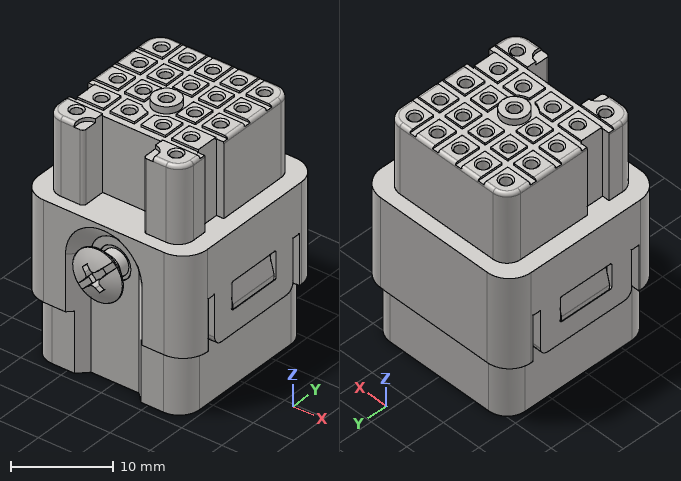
import cadquery as cq
import math

total_height = 29.35
collar_size = 21.0
collar_radius = 3.02
collar_bottom = 7.37
collar_top = 19.45
core_center_y = -0.05
core_width = 18.9
core_length = 19.64
core_radius = 2.52
insert_width = 16.9
insert_length = 17.75
insert_center_y = -0.1
insert_radius = 1.9
insert_top = 28.75
insert_edge_round = 0.45

contact_pitch_x = 3.2
contact_pitch_y = 3.5
first_row_y = 6.9
staggered_row_y = -3.73
staggered_inner_x = 2.08
staggered_outer_x = 5.58
corner_contact_x = 6.2
corner_contact_y = -6.9
contact_radius = 0.65
countersink_radius = 0.85

groove_width = 0.8
groove_depth = 0.25
groove_floor = insert_top - groove_depth
cross_groove_ys = (5.08, 1.6, -1.95, -5.52)
staggered_groove_x = 3.85
front_wall_y = cross_groove_ys[-1] - groove_width / 2

boss_y = -0.5
boss_radius = 1.65
boss_clearance_radius = 2.47

recess_depth = 0.9
recess_back_y = -2.23
recess_front_y = -5.22
notch_half_width = 3.73
notch_edge_radius = 0.4
scoop_radius = 1.17
scoop_center_y = -8.25

channel_center_z = 14.18
channel_mouth_radius = 4.75
channel_floor_radius = 2.95
channel_depth = channel_mouth_radius - channel_floor_radius
channel_floor_y = -collar_size / 2 + channel_depth

shank_radius = 1.55
shank_hole_radius = 1.97
shank_hole_depth = 0.2
head_radius = 3.08
head_rim_back_y = -11.33
head_rim_front_y = -11.5
head_tip_y = -12.4
driver_slot_width = 0.7
driver_arm_width = 0.82
driver_long_arm = 3.05
driver_short_arm = 2.47
driver_inner_radius = 0.53
driver_floor_y = -10.92
driver_turn = 45

relief_outer_y = 7.25
tongue_half_width = 6.25
tongue_corner_radius = 1.1
latch_top = 13.53
window_bottom = 10.15
window_half_width = 3.52
window_depth = 0.7
window_corner_radius = 0.23
tooth_gap = 0.23
tooth_setback = 0.05
tooth_ramp_bottom = 10.75

pick_margin = 0.03


def block(width, length, bottom, top, center=(0, 0)):
    """Upright box given by its footprint, center and two heights."""
    return (
        cq.Workplane("XY", origin=(0, 0, bottom))
        .center(*center)
        .rect(width, length)
        .extrude(top - bottom)
    )


def span(x0, x1, y0, y1, bottom, top):
    """Upright box given by its limits."""
    return block(x1 - x0, y1 - y0, bottom, top, ((x0 + x1) / 2, (y0 + y1) / 2))


def disc(radius, bottom, top, center):
    """Upright cylinder."""
    return (
        cq.Workplane("XY", origin=(0, 0, bottom))
        .center(*center)
        .circle(radius)
        .extrude(top - bottom)
    )


def both_sides(shape):
    """The shape together with its mirror image across the YZ plane."""
    return shape.union(shape.mirror("YZ"))


def latch_cuts():
    """Relief around the tongue and the latch window, on the -X side."""
    outer_x = -collar_size / 2
    core_x = -core_width / 2
    relief = span(
        outer_x, core_x,
        core_center_y - relief_outer_y, core_center_y + relief_outer_y,
        collar_bottom, latch_top,
    )
    tongue = span(
        outer_x, core_x,
        core_center_y - tongue_half_width, core_center_y + tongue_half_width,
        collar_bottom, latch_top,
    ).edges("|X and <Z").fillet(tongue_corner_radius)
    window = span(
        outer_x, outer_x + window_depth,
        core_center_y - window_half_width, core_center_y + window_half_width,
        window_bottom, latch_top,
    ).edges("|X").fillet(window_corner_radius)
    return relief.cut(tongue).union(window)


def latch_tooth():
    """Tooth in the window; its face leans inward towards the top."""
    face_x = -collar_size / 2 + tooth_setback
    back_x = -collar_size / 2 + window_depth
    half_width = window_half_width - tooth_gap
    root_x = -core_width / 2
    return (
        cq.Workplane("XZ", origin=(0, core_center_y + half_width, 0))
        .moveTo(root_x, window_bottom)
        .lineTo(face_x, window_bottom)
        .lineTo(face_x, tooth_ramp_bottom)
        .lineTo(back_x, latch_top - tooth_gap)
        .lineTo(root_x, latch_top - tooth_gap)
        .close()
        .extrude(2 * half_width)
    )


def screw_channel():
    """Arched channel with 45 degree flanks, open at the bottom of the body."""
    floor = cq.Workplane("XZ", origin=(0, channel_floor_y, channel_center_z))
    flare = (
        floor.circle(channel_floor_radius)
        .workplane(offset=channel_depth)
        .circle(channel_mouth_radius)
        .loft()
    )
    trough = (
        cq.Workplane("XY")
        .moveTo(-channel_floor_radius, channel_floor_y)
        .lineTo(-channel_mouth_radius, -collar_size / 2)
        .lineTo(channel_mouth_radius, -collar_size / 2)
        .lineTo(channel_floor_radius, channel_floor_y)
        .close()
        .extrude(channel_center_z)
    )
    return flare.union(trough)


def shank_hole():
    """Clearance hole around the screw shank."""
    return (
        cq.Workplane("XZ", origin=(0, channel_floor_y + shank_hole_depth, channel_center_z))
        .circle(shank_hole_radius)
        .extrude(shank_hole_depth)
    )


def screw():
    """Screw with a raised countersunk head and a slotted cross recess."""
    shank_end_y = channel_floor_y + shank_hole_depth
    cone_back_y = head_rim_back_y + head_radius - shank_radius
    dome_height = head_rim_front_y - head_tip_y
    dome_radius = (head_radius**2 + dome_height**2) / (2 * dome_height)
    half_angle = math.asin(head_radius / dome_radius) / 2
    dome_mid = (
        dome_radius * math.sin(half_angle),
        head_tip_y + dome_radius * (1 - math.cos(half_angle)),
    )
    body = (
        cq.Workplane("XY", origin=(0, 0, channel_center_z))
        .moveTo(0, shank_end_y)
        .lineTo(shank_radius, shank_end_y)
        .lineTo(shank_radius, cone_back_y)
        .lineTo(head_radius, head_rim_back_y)
        .lineTo(head_radius, head_rim_front_y)
        .threePointArc(dome_mid, (0, head_tip_y))
        .close()
        .revolve(360, (0, 0, 0), (0, 1, 0))
    )
    driver_depth = driver_floor_y - head_tip_y
    driver_plane = cq.Workplane("XZ", origin=(0, driver_floor_y, channel_center_z))
    cross = (
        driver_plane.rect(driver_short_arm, driver_arm_width)
        .extrude(driver_depth)
        .union(driver_plane.rect(driver_arm_width, driver_long_arm).extrude(driver_depth))
    )
    inner_corner = driver_arm_width / 2 + pick_margin
    cross = cross.edges(
        cq.selectors.BoxSelector(
            (-inner_corner, head_tip_y, channel_center_z - inner_corner),
            (inner_corner, driver_floor_y, channel_center_z + inner_corner),
        )
    ).fillet(driver_inner_radius)
    slot = (
        cq.Workplane("XZ", origin=(0, head_rim_front_y, channel_center_z))
        .rect(2 * head_radius, driver_slot_width)
        .extrude(dome_height)
    )
    axis_start = (0, 0, channel_center_z)
    axis_end = (0, -1, channel_center_z)
    return body.cut(cross.union(slot).rotate(axis_start, axis_end, driver_turn))


def insert_body():
    """Rounded insert block with side recesses and the front notch."""
    half_width = insert_width / 2
    front_y = insert_center_y - insert_length / 2
    body = (
        block(insert_width, insert_length, collar_top, insert_top, (0, insert_center_y))
        .edges("|Z")
        .fillet(insert_radius)
        .faces(">Z")
        .edges()
        .fillet(insert_edge_round)
    )
    recess = span(
        -half_width, -half_width + recess_depth,
        recess_front_y, recess_back_y,
        collar_top, insert_top,
    )
    scoop_floor = insert_top - insert_edge_round
    scoop_x = -notch_half_width
    scoop = disc(scoop_radius, scoop_floor, insert_top, (scoop_x, scoop_center_y)).union(
        span(
            scoop_x - scoop_radius, scoop_x,
            front_y, scoop_center_y,
            scoop_floor, insert_top,
        )
    )
    notch = span(
        -notch_half_width, notch_half_width,
        front_y, front_wall_y,
        collar_top, insert_top,
    )
    body = body.cut(both_sides(recess)).cut(both_sides(scoop)).cut(notch)
    notch_tips = cq.selectors.BoxSelector(
        (-notch_half_width - pick_margin, front_y - pick_margin, collar_top),
        (notch_half_width + pick_margin, front_y + pick_margin, insert_top),
    )
    return body.edges("|Z").edges(notch_tips).fillet(notch_edge_radius)


def pad_grooves():
    """Shallow grooves that part the insert top into contact pads."""
    back_y = insert_center_y + insert_length / 2
    staggered_back_y, staggered_front_y = cross_groove_ys[2:]
    grooves = disc(boss_clearance_radius, groove_floor, insert_top, (0, boss_y)).intersect(
        block(contact_pitch_x + groove_width, insert_length, groove_floor, insert_top)
    )
    for y in cross_groove_ys:
        grooves = grooves.union(
            block(insert_width, groove_width, groove_floor, insert_top, (0, y))
        )
    for column in (-1.5, -0.5, 0.5, 1.5):
        x = column * contact_pitch_x
        grooves = grooves.union(
            span(
                x - groove_width / 2, x + groove_width / 2,
                staggered_back_y, back_y,
                groove_floor, insert_top,
            )
        )
    for x in (-staggered_groove_x, 0, staggered_groove_x):
        grooves = grooves.union(
            span(
                x - groove_width / 2, x + groove_width / 2,
                staggered_front_y, staggered_back_y,
                groove_floor, insert_top,
            )
        )
    return grooves


def contact_holes():
    """Countersunk holes through the full height of the body."""
    rows = [first_row_y - row * contact_pitch_y for row in range(3)]
    columns = [column * contact_pitch_x for column in range(-2, 3)]
    places = [(x, y) for y in rows for x in columns if (x, y) != (0, rows[-1])]
    for side in (-1, 1):
        places.append((side * staggered_inner_x, staggered_row_y))
        places.append((side * staggered_outer_x, staggered_row_y))
        places.append((side * corner_contact_x, corner_contact_y))

    def hole(center, top):
        chamfer_depth = countersink_radius - contact_radius
        return (
            cq.Workplane("XZ")
            .moveTo(0, 0)
            .lineTo(contact_radius, 0)
            .lineTo(contact_radius, top - chamfer_depth)
            .lineTo(countersink_radius, top)
            .lineTo(0, top)
            .close()
            .revolve(360, (0, 0, 0), (0, 1, 0))
            .translate((*center, 0))
        )

    holes = hole((0, boss_y), total_height)
    for place in places:
        holes = holes.add(hole(place, insert_top))
    return cq.Workplane(cq.Compound.makeCompound(holes.vals()))


core = (
    block(core_width, core_length, 0, collar_top, (0, core_center_y))
    .edges("|Z")
    .fillet(core_radius)
)
collar = (
    block(collar_size, collar_size, collar_bottom, collar_top)
    .edges("|Z")
    .fillet(collar_radius)
    .cut(both_sides(latch_cuts()))
)
insert = insert_body().cut(pad_grooves())
boss = disc(boss_radius, groove_floor, total_height, (0, boss_y))

body = core.union(collar).union(both_sides(latch_tooth()))
body = body.cut(screw_channel()).cut(shank_hole()).union(screw())
result = body.union(insert).union(boss).cut(contact_holes())